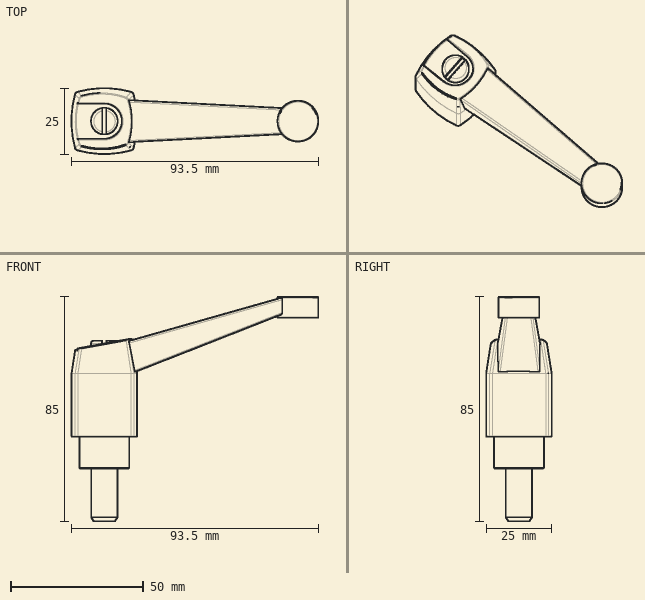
import cadquery as cq
import math

STUD_LENGTH = 20.0
BODY_BOTTOM = 12.0
SHOULDER = 36.0
KNOB_TOP = 65.0
TAPER_TOP = 52.0

STUD_DIAMETER = 10.0
STUD_CHAMFER_HEIGHT = 1.5
STUD_CHAMFER_DEPTH = 1.0
COLLAR_DIAMETER = 19.0
COLLAR_CHAMFER = 0.4

BODY_WIDTH = 25.0
BODY_BULGE = 1.6
CORNER_RADIUS = 1.5
BODY_BOTTOM_FILLET = 0.5
TAPER_ANGLE = 9.2
TOP_SLOPE = 10.4
TOP_CENTER_HEIGHT = 47.35
RIM_FILLET = 0.4

RECESS_WIDTH = 13.3
RECESS_FLOOR = 45.0

SCREW_DIAMETER = 10.1
SCREW_TOP = 48.4
SCREW_FILLET = 1.0
SCREW_SLOT_WIDTH = 1.6
SCREW_SLOT_DEPTH = 2.0

KNOB_DIAMETER = 15.5
KNOB_HEIGHT = 8.0
KNOB_FILLET = 0.4
OVERALL_LENGTH = 93.5
KNOB_X = OVERALL_LENGTH - BODY_WIDTH / 2 - KNOB_DIAMETER / 2

ROOT_X = 11.0
ROOT_TOP = 48.8
ROOT_BOTTOM = 36.3
ROOT_WIDTH = 15.8
TIP_X = 66.0
TIP_TOP = 64.4
TIP_BOTTOM = 57.9
TIP_WIDTH = 10.1
ARM_FILLET = 0.7
ARM_INNER_X = 8.0
ARM_OUTER_X = 67.3


def body_outline(half_width, z):
    """Bulged square with rounded corners, centred on the Z axis."""
    corner = half_width - BODY_BULGE
    outline = (
        cq.Sketch()
        .arc((-corner, -corner), (0, -half_width), (corner, -corner))
        .arc((corner, -corner), (half_width, 0), (corner, corner))
        .arc((corner, corner), (0, half_width), (-corner, corner))
        .arc((-corner, corner), (-half_width, 0), (-corner, -corner))
        .assemble()
        .vertices()
        .fillet(CORNER_RADIUS)
    )
    return outline.moved(cq.Location(cq.Vector(0, 0, z)))


def along_arm(root, tip, x):
    """Value at x on the straight line through the root and tip stations."""
    return root + (tip - root) * (x - ROOT_X) / (TIP_X - ROOT_X)


def make_stud_and_collar():
    tip_radius = STUD_DIAMETER / 2 - STUD_CHAMFER_DEPTH
    stud = (
        cq.Workplane("XZ")
        .moveTo(0, -STUD_LENGTH)
        .lineTo(tip_radius, -STUD_LENGTH)
        .lineTo(STUD_DIAMETER / 2, -STUD_LENGTH + STUD_CHAMFER_HEIGHT)
        .lineTo(STUD_DIAMETER / 2, 0)
        .lineTo(0, 0)
        .close()
        .revolve(360, (0, 0), (0, 1))
    )
    collar = (
        cq.Workplane("XY")
        .circle(COLLAR_DIAMETER / 2)
        .extrude(BODY_BOTTOM)
        .faces("<Z")
        .chamfer(COLLAR_CHAMFER)
    )
    return stud.union(collar)


def make_lower_body():
    return (
        cq.Workplane("XY")
        .placeSketch(body_outline(BODY_WIDTH / 2, BODY_BOTTOM))
        .extrude(SHOULDER - BODY_BOTTOM)
        .faces("<Z")
        .fillet(BODY_BOTTOM_FILLET)
    )


def make_recess():
    radius = RECESS_WIDTH / 2
    return (
        cq.Workplane("XY")
        .workplane(offset=RECESS_FLOOR)
        .moveTo(-BODY_WIDTH, -radius)
        .lineTo(0, -radius)
        .threePointArc((radius, 0), (0, radius))
        .lineTo(-BODY_WIDTH, radius)
        .close()
        .extrude(TAPER_TOP - RECESS_FLOOR)
    )


def make_tapered_body():
    rise = TAPER_TOP - SHOULDER
    top_half = BODY_WIDTH / 2 - rise * math.tan(math.radians(TAPER_ANGLE))
    taper = (
        cq.Workplane("XY")
        .placeSketch(body_outline(BODY_WIDTH / 2, SHOULDER), body_outline(top_half, TAPER_TOP))
        .loft(ruled=True)
    )
    above_top = (
        cq.Workplane("XY")
        .box(2 * BODY_WIDTH, 2 * BODY_WIDTH, BODY_WIDTH, centered=(True, True, False))
        .rotate((0, 0, 0), (0, 1, 0), -TOP_SLOPE)
        .translate((0, 0, TOP_CENTER_HEIGHT))
    )
    taper = taper.cut(above_top).cut(make_recess())
    rim = taper.faces(">Z").edges()
    recess_mouth = taper.faces(cq.NearestToPointSelector((0, 0, RECESS_FLOOR))).edges("<X")
    return rim.add(recess_mouth).fillet(RIM_FILLET)


def make_screw():
    slot_floor = SCREW_TOP - SCREW_SLOT_DEPTH
    slot = (
        cq.Workplane("XY")
        .workplane(offset=slot_floor)
        .rect(SCREW_SLOT_WIDTH, 2 * SCREW_DIAMETER)
        .extrude(SCREW_SLOT_DEPTH)
    )
    return (
        cq.Workplane("XY")
        .workplane(offset=SHOULDER)
        .circle(SCREW_DIAMETER / 2)
        .extrude(SCREW_TOP - SHOULDER)
        .faces(">Z")
        .fillet(SCREW_FILLET)
        .cut(slot)
    )


def make_arm():
    top_in = along_arm(ROOT_TOP, TIP_TOP, ARM_INNER_X)
    top_out = along_arm(ROOT_TOP, TIP_TOP, ARM_OUTER_X)
    bottom_in = along_arm(ROOT_BOTTOM, TIP_BOTTOM, ARM_INNER_X)
    bottom_out = along_arm(ROOT_BOTTOM, TIP_BOTTOM, ARM_OUTER_X)
    half_in = along_arm(ROOT_WIDTH, TIP_WIDTH, ARM_INNER_X) / 2
    half_out = along_arm(ROOT_WIDTH, TIP_WIDTH, ARM_OUTER_X) / 2
    side = (
        cq.Workplane("XZ")
        .polyline([(ARM_INNER_X, bottom_in), (ARM_OUTER_X, bottom_out),
                   (ARM_OUTER_X, top_out), (ARM_INNER_X, top_in)])
        .close()
        .extrude(BODY_WIDTH / 2, both=True)
    )
    plan = (
        cq.Workplane("XY")
        .polyline([(ARM_INNER_X, -half_in), (ARM_OUTER_X, -half_out),
                   (ARM_OUTER_X, half_out), (ARM_INNER_X, half_in)])
        .close()
        .extrude(KNOB_TOP + BODY_WIDTH)
    )
    long_edges = "not(#X)"
    return side.intersect(plan).edges(long_edges).fillet(ARM_FILLET)


def make_knob():
    return (
        cq.Workplane("XY")
        .workplane(offset=KNOB_TOP - KNOB_HEIGHT)
        .center(KNOB_X, 0)
        .circle(KNOB_DIAMETER / 2)
        .extrude(KNOB_HEIGHT)
        .edges()
        .fillet(KNOB_FILLET)
    )


body = make_lower_body().union(make_tapered_body()).union(make_arm())
result = body.union(make_stud_and_collar()).union(make_screw()).union(make_knob())